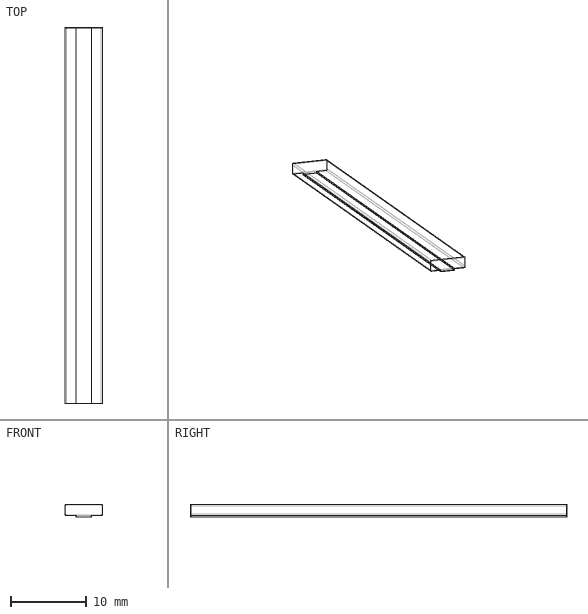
import cadquery as cq

length = 50.0
width = 5.0
total_height = 1.7

strip_width = 2.0
strip_height = 0.2

sleeve_thickness = 0.1
sleeve_radius = 0.2

bar_height = total_height - strip_height
core_width = width - 2 * sleeve_thickness
core_height = bar_height - 2 * sleeve_thickness
core_radius = sleeve_radius - sleeve_thickness


def make_bar(bar_width, height, bottom):
    """Full-length rectangular bar, centred in X and Y, with its underside at Z = bottom."""
    bar = cq.Workplane("XY").box(bar_width, length, height, centered=(True, True, False))
    return bar.translate((0, 0, bottom))


def make_rounded_bar(bar_width, height, bottom, radius):
    """Full-length bar with its four long edges rounded."""
    return make_bar(bar_width, height, bottom).edges("|Y").fillet(radius)


core = make_rounded_bar(core_width, core_height, sleeve_thickness, core_radius)
sleeve = make_rounded_bar(width, bar_height, 0, sleeve_radius).cut(core)
strip = make_bar(strip_width, strip_height, -strip_height)

result = sleeve.union(core, clean=False).union(strip, clean=False)